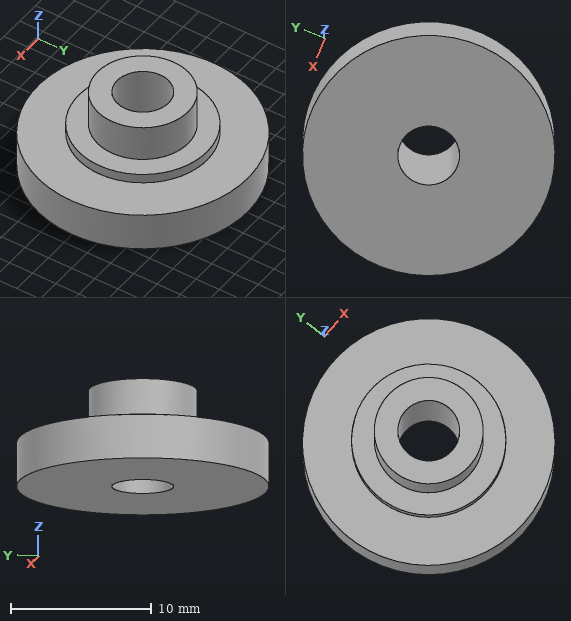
import cadquery as cq

flange_diameter = 18.0
shoulder_diameter = 11.0
boss_diameter = 7.75
bore_diameter = 4.4

flange_height = 3.2
shoulder_height = 0.8
boss_height = 3.0

flange = cq.Workplane("XY").circle(flange_diameter / 2).extrude(flange_height)
with_shoulder = flange.faces(">Z").workplane().circle(shoulder_diameter / 2).extrude(shoulder_height)
stepped_body = with_shoulder.faces(">Z").workplane().circle(boss_diameter / 2).extrude(boss_height)

result = stepped_body.faces(">Z").workplane().hole(bore_diameter)